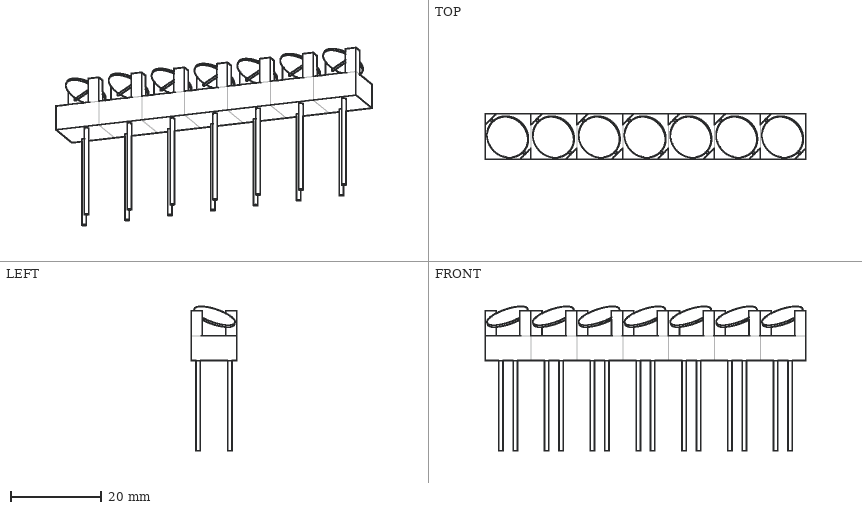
import cadquery as cq
import math

cell_count = 7
row_length = 71.05
pitch = row_length / cell_count
half_cell = pitch / 2

block_height = 5.55
post_height = 5.55
post_leg = 2.5
lead_diameter = 1.0
lead_length = 20.0
lead_spacing_x = 3.2
lead_spacing_y = 7.0

disc_diameter = 9.5
disc_thickness = 0.5
disc_tilt = 26.0
axle_diameter = 0.5
axle_drop = 1.55
axle_angle = -45.0
axle_length = math.sqrt(2) * (pitch - post_leg)
axle_z = block_height + post_height - axle_drop

cell_centres = [(i - (cell_count - 1) / 2) * pitch for i in range(cell_count)]


def make_block():
    return cq.Workplane("XY").box(pitch, pitch, block_height, centered=(True, True, False))


def make_post(side):
    """Triangular post in the (+X, -Y) corner for side = 1, in the (-X, +Y) corner for side = -1."""
    corner = side * half_cell
    inner = side * (half_cell - post_leg)
    outline = [(corner, -corner), (inner, -corner), (corner, -inner)]
    return cq.Workplane("XY").workplane(offset=block_height).polyline(outline).close().extrude(post_height)


def make_lead(side):
    """Round lead below the block, on the same diagonal side as the post."""
    lead = cq.Workplane("XY").center(side * lead_spacing_x / 2, -side * lead_spacing_y / 2)
    return lead.circle(lead_diameter / 2).extrude(-lead_length)


def make_housing():
    """One solid for the whole row; clean=False keeps the seams between cells and below the posts."""
    housing = None
    for x in cell_centres:
        parts = [make_block()]
        for side in (-1, 1):
            parts += [make_post(side), make_lead(side)]
        for part in parts:
            placed = part.translate((x, 0, 0))
            housing = placed if housing is None else housing.union(placed, clean=False)
    return housing


def make_disc(x):
    """Disc whose underside passes through its axle, tilted so that its upper face turns towards -X and -Y."""
    disc = cq.Workplane("XY").circle(disc_diameter / 2).extrude(disc_thickness)
    axle = cq.Workplane("YZ").circle(axle_diameter / 2).extrude(axle_length / 2, both=True)
    tilted = disc.union(axle).rotate((0, 0, 0), (1, 0, 0), disc_tilt)
    return tilted.rotate((0, 0, 0), (0, 0, 1), axle_angle).translate((x, 0, axle_z))


housing = make_housing()
discs = [make_disc(x) for x in cell_centres]

result = cq.Compound.makeCompound([housing.val(), *[disc.val() for disc in discs]])